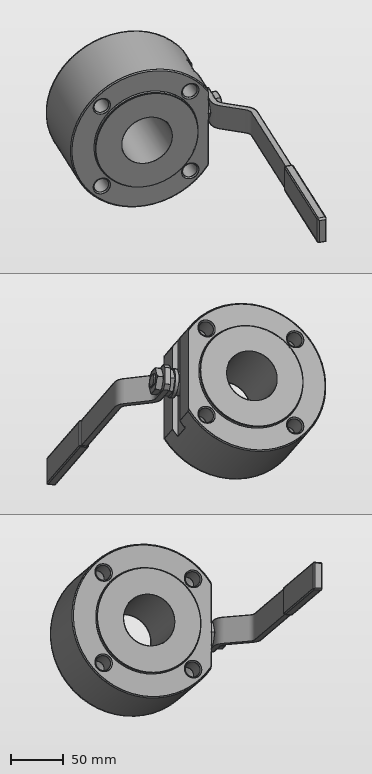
import cadquery as cq
import math


BODY_DIAMETER = 150.0
BODY_HALF_LENGTH = 38.0
BODY_RIM_CHAMFER = 1.2
STEM_FLAT_Y = 62.0
BORE_DIAMETER = 50.5

FACE_DIAMETER = 102.0
FACE_HEIGHT = 3.2
FACE_FOOT_DIAMETER = 103.8
FACE_FOOT_HEIGHT = 1.5

BOLT_CIRCLE_DIAMETER = 124.8
BOLT_COUNT = 4
BOLT_START_ANGLE = 45
BOLT_HOLE_DIAMETER = 14.5
BOLT_HOLE_MOUTH_DIAMETER = 17.2
BOLT_HOLE_DEPTH = 23.3
DRILL_TIP_ANGLE = 118

STEM_DIAMETER = 22.5
STEM_SEAT_Y = 56.8
COLLAR_DIAMETER = 28.0
COLLAR_BOTTOM_Y = 63.8
COLLAR_TOP_Y = 67.3
HEX_SIDES = 6
NUT_ACROSS_CORNERS = 25.7
NUT_TOP_Y = 85.0
NUT_CHAMFER_DEPTH = 1.0
STEM_END_DIAMETER = 15.7
STEM_END_FLATS = 10.5
STEM_END_CHAMFER = 1.2
STEM_END_Y = 86.5

LEVER_THICKNESS = 5.8
LEVER_WIDTH = 25.7
LEVER_START_X = -16.3
LEVER_CORNER_CHAMFER = 4.5
LEVER_HUB_Y = 75.8
LEVER_ARM_Y = 106.0
CRANK_MIDDLE_X = 28.0
CRANK_ANGLE = 55
BEND_RADIUS = 11.0

GRIP_START_X = 147.0
GRIP_END_X = 250.5
GRIP_THICKNESS = 9.0
GRIP_WIDTH = 27.0
GRIP_EDGE_CHAMFER = 1.2
GRIP_END_CHAMFER_LENGTH = 2.5
GRIP_END_CHAMFER_DEPTH = 1.5


def along_stem(start_y):
    """Workplane facing +Y at a height on the stem axis; its local X is global X."""
    return cq.Workplane("XZ", origin=(0, start_y, 0)).transformed(rotate=(180, 0, 0))


def bolt_hole_cutter():
    """Drilled hole with a countersunk mouth, entering the +X end of the body on the axis."""
    radius = BOLT_HOLE_DIAMETER / 2
    mouth_radius = BOLT_HOLE_MOUTH_DIAMETER / 2
    mouth_depth = mouth_radius - radius
    tip_length = radius / math.tan(math.radians(DRILL_TIP_ANGLE / 2))
    bottom_x = BODY_HALF_LENGTH - BOLT_HOLE_DEPTH
    return (
        cq.Workplane("XY")
        .moveTo(BODY_HALF_LENGTH, 0)
        .lineTo(BODY_HALF_LENGTH, mouth_radius)
        .lineTo(BODY_HALF_LENGTH - mouth_depth, radius)
        .lineTo(bottom_x, radius)
        .lineTo(bottom_x - tip_length, 0)
        .close()
        .revolve(360, (0, 0, 0), (1, 0, 0))
    )


def raised_face():
    """Disc on the +X end of the body with a tapered foot below its straight rim."""
    foot_top_x = BODY_HALF_LENGTH + FACE_FOOT_HEIGHT
    face_x = BODY_HALF_LENGTH + FACE_HEIGHT
    return (
        cq.Workplane("XY")
        .moveTo(BODY_HALF_LENGTH, 0)
        .lineTo(BODY_HALF_LENGTH, FACE_FOOT_DIAMETER / 2)
        .lineTo(foot_top_x, FACE_DIAMETER / 2)
        .lineTo(face_x, FACE_DIAMETER / 2)
        .lineTo(face_x, 0)
        .close()
        .revolve(360, (0, 0, 0), (1, 0, 0))
    )


def valve_body():
    """Drum with raised faces, bore, stem flat, stem slot and bolt holes."""
    body_radius = BODY_DIAMETER / 2
    body = (
        cq.Workplane("YZ")
        .circle(body_radius)
        .extrude(BODY_HALF_LENGTH, both=True)
        .edges()
        .chamfer(BODY_RIM_CHAMFER)
    )
    above_flat = cq.Workplane("XY").box(
        2 * BODY_HALF_LENGTH, body_radius, BODY_DIAMETER, centered=(True, False, True)
    )
    body = body.cut(above_flat.translate((0, STEM_FLAT_Y, 0)))

    face = raised_face()
    body = body.union(face).union(face.mirror("YZ"))
    bore = cq.Workplane("YZ").circle(BORE_DIAMETER / 2).extrude(BODY_HALF_LENGTH + FACE_HEIGHT, both=True)
    body = body.cut(bore)

    slot = cq.Workplane("XY").box(
        STEM_DIAMETER, STEM_FLAT_Y - STEM_SEAT_Y, BODY_DIAMETER, centered=(True, False, True)
    )
    body = body.cut(slot.translate((0, STEM_SEAT_Y, 0)))

    hole = bolt_hole_cutter()
    for index in range(BOLT_COUNT):
        angle = math.radians(BOLT_START_ANGLE + index * 360 / BOLT_COUNT)
        y = BOLT_CIRCLE_DIAMETER / 2 * math.cos(angle)
        z = BOLT_CIRCLE_DIAMETER / 2 * math.sin(angle)
        placed = hole.translate((0, y, z))
        body = body.cut(placed).cut(placed.mirror("YZ"))
    return body


def stem_stack():
    """Stem, collar, hexagonal spacer below the lever, and nut and two-flat stem end above it."""
    stem = along_stem(STEM_SEAT_Y).circle(STEM_DIAMETER / 2).extrude(COLLAR_BOTTOM_Y - STEM_SEAT_Y)
    collar = along_stem(COLLAR_BOTTOM_Y).circle(COLLAR_DIAMETER / 2).extrude(COLLAR_TOP_Y - COLLAR_BOTTOM_Y)
    lever_bottom_y = LEVER_HUB_Y - LEVER_THICKNESS / 2
    lever_top_y = LEVER_HUB_Y + LEVER_THICKNESS / 2
    spacer_height = lever_bottom_y - COLLAR_TOP_Y
    spacer = along_stem(COLLAR_TOP_Y).polygon(HEX_SIDES, NUT_ACROSS_CORNERS).extrude(spacer_height)
    nut_height = NUT_TOP_Y - lever_top_y
    nut_hexagon = along_stem(lever_top_y).polygon(HEX_SIDES, NUT_ACROSS_CORNERS).extrude(nut_height)
    corner_trim = (
        along_stem(lever_top_y)
        .circle(NUT_ACROSS_CORNERS / 2)
        .extrude(nut_height)
        .edges()
        .chamfer(NUT_CHAMFER_DEPTH)
    )
    nut = nut_hexagon.intersect(corner_trim)
    stem_end = (
        along_stem(NUT_TOP_Y)
        .circle(STEM_END_DIAMETER / 2)
        .extrude(STEM_END_Y - NUT_TOP_Y)
        .faces(">Y")
        .chamfer(STEM_END_CHAMFER)
    )
    flats = along_stem(NUT_TOP_Y).rect(STEM_END_DIAMETER, STEM_END_FLATS).extrude(STEM_END_Y - NUT_TOP_Y)
    stem_end = stem_end.intersect(flats)
    return stem.union(collar).union(spacer).union(nut).union(stem_end)


def lever():
    """Flat bar swept along a centreline with two equal and opposite bends."""
    angle = math.radians(CRANK_ANGLE)
    half_run = (LEVER_ARM_Y - LEVER_HUB_Y) / 2 / math.tan(angle)
    tangent_length = BEND_RADIUS * math.tan(angle / 2)
    along_x = tangent_length * math.cos(angle)
    along_y = tangent_length * math.sin(angle)
    first_corner_x = CRANK_MIDDLE_X - half_run
    second_corner_x = CRANK_MIDDLE_X + half_run
    centreline = (
        cq.Workplane("XY")
        .moveTo(LEVER_START_X, LEVER_HUB_Y)
        .lineTo(first_corner_x - tangent_length, LEVER_HUB_Y)
        .tangentArcPoint((first_corner_x + along_x, LEVER_HUB_Y + along_y), relative=False)
        .lineTo(second_corner_x - along_x, LEVER_ARM_Y - along_y)
        .tangentArcPoint((second_corner_x + tangent_length, LEVER_ARM_Y), relative=False)
        .lineTo(GRIP_START_X, LEVER_ARM_Y)
    )
    bar = (
        cq.Workplane("YZ", origin=(LEVER_START_X, LEVER_HUB_Y, 0))
        .rect(LEVER_THICKNESS, LEVER_WIDTH)
        .sweep(centreline)
    )
    return bar.faces("<X").edges("|Y").chamfer(LEVER_CORNER_CHAMFER)


def grip():
    """Rectangular sleeve with bevelled edges and a longer bevel around its outer end."""
    sleeve = (
        cq.Workplane("YZ", origin=(GRIP_START_X, LEVER_ARM_Y, 0))
        .rect(GRIP_THICKNESS, GRIP_WIDTH)
        .extrude(GRIP_END_X - GRIP_START_X)
    )
    end_rim = sleeve.faces(">X").edges().vals()
    sleeve = cq.Workplane(sleeve.val().chamfer(GRIP_END_CHAMFER_LENGTH, GRIP_END_CHAMFER_DEPTH, end_rim))
    return sleeve.edges("|X or <X").chamfer(GRIP_EDGE_CHAMFER)


result = valve_body().union(stem_stack()).union(lever()).union(grip())